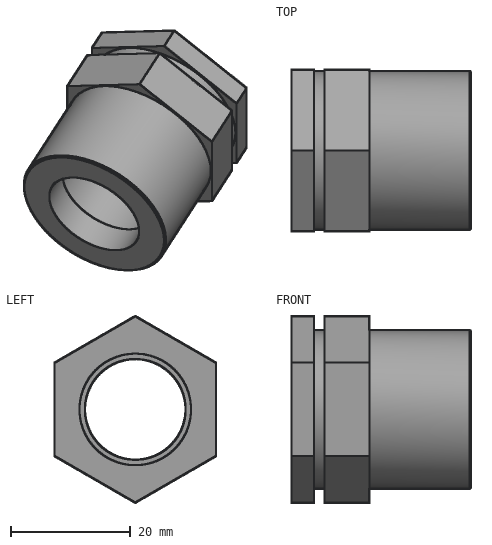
import cadquery as cq

total_length = 30.0
hex_across_corners = 31.18
head_thickness = 3.77
gap_width = 1.7
nut_thickness = 7.5
barrel_diameter = 26.55
barrel_chamfer = 0.25
entry_diameter = 18.65
bore_diameter = 16.77
entry_depth = 24.95

nut_start = head_thickness + gap_width


def cylinder(start, length, diameter):
    """Cylinder on the X axis, beginning at x = start."""
    return cq.Workplane("YZ", origin=(start, 0, 0)).circle(diameter / 2).extrude(length)


def hexagon(start, length):
    """Hexagonal prism on the X axis with two corners on the Z axis."""
    return (
        cq.Workplane("YZ", origin=(start, 0, 0))
        .transformed(rotate=(0, 0, 90))
        .polygon(6, hex_across_corners)
        .extrude(length)
    )


barrel = cylinder(0, total_length, barrel_diameter).faces(">X").chamfer(barrel_chamfer)

body = barrel.union(hexagon(0, head_thickness)).union(hexagon(nut_start, nut_thickness))

body = body.cut(cylinder(0, total_length, bore_diameter))
result = body.cut(cylinder(0, entry_depth, entry_diameter))